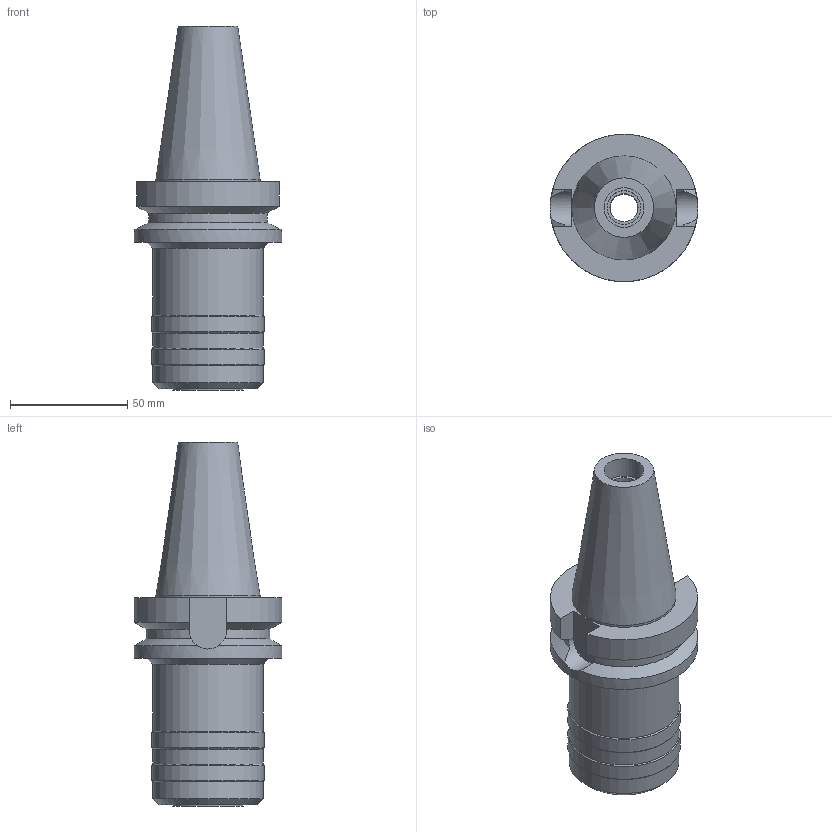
import cadquery as cq
import math


gauge_radius = 44.45 / 2
taper_length = 65.4
taper_slope = 7 / 48
taper_tip_radius = gauge_radius - taper_length * taper_slope

flange_radius = 63 / 2
flange_top = -1.0
flange_bottom = -27.0
groove_radius = 53 / 2
groove_center = -16.6
groove_floor_width = 4.2
groove_flank_angle = 30
groove_flank_height = (flange_radius - groove_radius) * math.tan(math.radians(groove_flank_angle))
groove_floor_top = groove_center + groove_floor_width / 2
groove_floor_bottom = groove_center - groove_floor_width / 2

slot_width = 16.1
slot_floor_distance = 22.6
slot_bottom = -23.0

body_radius = 47 / 2
neck_radius = 52 / 2
neck_height = neck_radius - body_radius
nose_radius = 30 / 2
nose_height = 0.5
nose_bottom = -90.0
body_bottom = nose_bottom + nose_height
body_chamfer = 2.5

band_rise = 0.5
band_height = 7.6
band_bottoms = (-79.7, -65.7)

pilot_radius = 17 / 2
pilot_depth = 9.0
thread_radius = 14.5 / 2
thread_depth = 30.0
bore_radius = 12 / 2


def make_turned_blank():
    """Revolve the outer profile: nose, body, neck, grooved flange and taper."""
    profile = [
        (0, nose_bottom),
        (nose_radius, nose_bottom),
        (nose_radius, body_bottom),
        (body_radius - body_chamfer, body_bottom),
        (body_radius, body_bottom + body_chamfer),
        (body_radius, flange_bottom - neck_height),
        (neck_radius, flange_bottom),
        (flange_radius, flange_bottom),
        (flange_radius, groove_floor_bottom - groove_flank_height),
        (groove_radius, groove_floor_bottom),
        (groove_radius, groove_floor_top),
        (flange_radius, groove_floor_top + groove_flank_height),
        (flange_radius, flange_top),
        (gauge_radius, flange_top),
        (gauge_radius, 0),
        (taper_tip_radius, taper_length),
        (0, taper_length),
    ]
    return cq.Workplane("XZ").polyline(profile).close().revolve(360, (0, 0, 0), (0, 1, 0))


def make_band(bottom):
    """Raised band with 45 degree edges rising from the body surface."""
    band = cq.Workplane("XY").workplane(offset=bottom).circle(body_radius + band_rise)
    return band.extrude(band_height).edges().chamfer(band_rise)


def make_drive_slot(side):
    """Round-bottomed slot cutter, open at the flange top, on the +X (1) or -X (-1) side."""
    half_width = slot_width / 2
    arc_center = slot_bottom + half_width
    return (
        cq.Workplane("YZ")
        .workplane(offset=side * slot_floor_distance)
        .moveTo(-half_width, flange_top)
        .lineTo(-half_width, arc_center)
        .threePointArc((0, slot_bottom), (half_width, arc_center))
        .lineTo(half_width, flange_top)
        .close()
        .extrude(side * flange_radius)
    )


def make_bore():
    """Stepped through bore: pull-stud pilot, thread hole and coolant bore."""
    bore_length = taper_length - nose_bottom
    top = cq.Workplane("XY").workplane(offset=taper_length)
    bore = top.circle(bore_radius).extrude(-bore_length)
    bore = bore.union(top.circle(thread_radius).extrude(-thread_depth))
    return bore.union(top.circle(pilot_radius).extrude(-pilot_depth))


result = make_turned_blank()
for band_bottom in band_bottoms:
    result = result.union(make_band(band_bottom))
for side in (-1, 1):
    result = result.cut(make_drive_slot(side))
result = result.cut(make_bore())